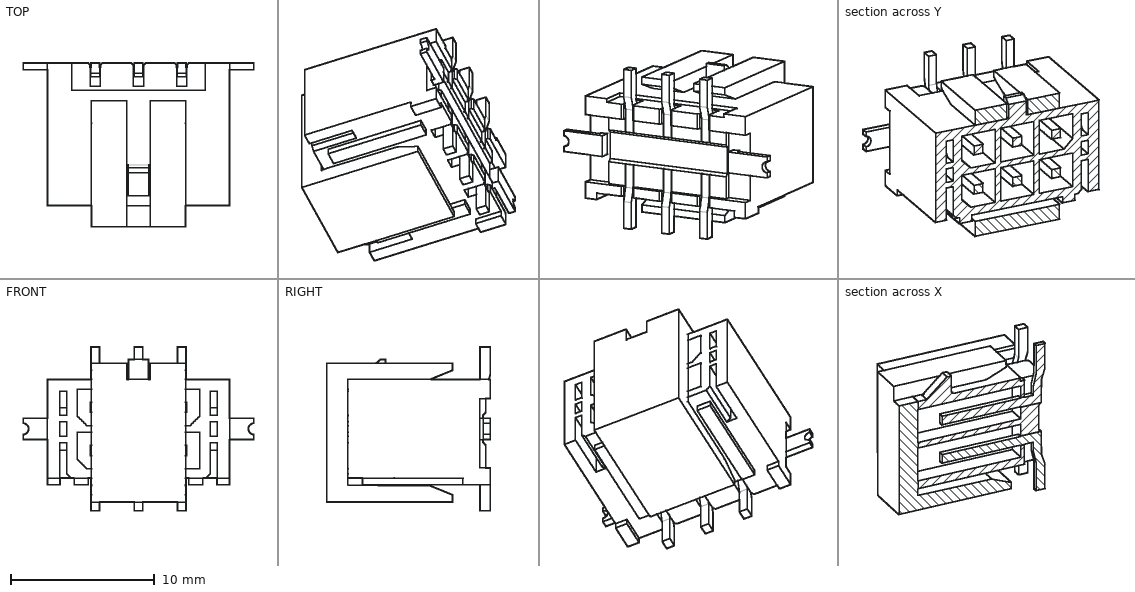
import cadquery as cq

TAB_SPAN = 16.09
LEG_SPAN = 11.4
CAP_DEPTH = 11.4

PITCH = 3.01
COLUMNS = (-1, 0, 1)
ROWS = (1, -1)
ROW_Z = PITCH / 2
SIDES = (-1, 1)

HOUSING_WIDTH = 12.68
HOUSING_DEPTH = 9.93
HOUSING_TOP = 3.45
HOUSING_BOTTOM = -3.43
SUPPORT_HEIGHT = 0.47
SUPPORT_BOTTOM = HOUSING_BOTTOM - SUPPORT_HEIGHT
SHOULDER_DEPTH = 1.91
FOOT_WIDTH = 0.88
RIB_INNER_X = 3.49
RIB_WIDTH = 1.0
RIB_END_DEPTH = 8.91

RECESS_WIDTH = 9.27
TOP_RECESS_HEIGHT = 0.25
BACK_RECESS_TOP = 2.1
BACK_RECESS_BOTTOM = -2.72
BACK_RECESS_DEPTH = 0.72
PAD_DEPTH = 0.3
PAD_CHANNEL_DEPTH = 0.5
PAD_CHANNEL_HEIGHT = 2.28

CAVITY_SIZE = 2.55
CAVITY_CHAMFER = 0.68
CAVITY_FLOOR_DEPTH = SHOULDER_DEPTH

LATCH_WIDTH = 1.4
LATCH_TOP = 4.85
LATCH_BACK = 7.3
LATCH_TIP_END = 7.66
LATCH_BASE_RADIUS = 0.23
LATCH_RAMP_END = 9.25

BLADE_SIZE = 0.7
BLADE_TIP_DEPTH = 8.05
LEG_WIDTH = 0.61
LEG_THICKNESS = 0.72
STEM_BACK_DEPTH = PAD_DEPTH
STEM_FRONT_DEPTH = 0.95
JOG_BACK_Z = 3.77
JOG_FRONT_Z = 3.49
JOG_HEIGHT = 0.97
TERMINAL_SLOT_DEPTH = 1.61
SLOT_LEAD_IN = 0.15

TAB_HEIGHT = 1.5
TAB_THICKNESS = 0.48
TAB_INNER_X = 4.99
TAB_LEG_DEPTH = 4.83
TAB_NOTCH_RADIUS = 0.39

SLOT_INNER_X = TAB_INNER_X
SLOT_WIDTH = TAB_THICKNESS
SLOT_DEPTH = 3.22
MIDDLE_SLOT_HEIGHT = 1.0
OUTER_SLOT_START_Z = 0.97
OUTER_SLOT_TOP = 2.62
OUTER_SLOT_SLOPE = 0.51
SLOT_MOUTH_CHAMFER = 0.29

CAP_WIDTH = 6.56
CAP_TOP = 4.59
CAP_BOTTOM = -5.1
CAP_ARM_START = 2.64
CAP_TAPER_END = 4.18
CAP_TIP_THICKNESS = 0.51
CAP_LOWER_INNER_Z = SUPPORT_BOTTOM - 0.02
CAP_LOWER_ARM_DROP = 0.05
CAP_SLOT_WIDTH = 1.61


def block(x_min, x_max, depth_min, depth_max, z_min, z_max):
    """Box given by its limits in X, in depth behind the mounting face and in Z."""
    size = (x_max - x_min, depth_max - depth_min, z_max - z_min)
    return cq.Workplane("XY").box(*size, centered=False).translate((x_min, -depth_max, z_min))


def side_profile(points, x_min, x_max):
    """Extrude an outline of (depth, Z) points between two X positions."""
    outline = [(-depth, z) for depth, z in points]
    return cq.Workplane("YZ").workplane(offset=x_min).polyline(outline).close().extrude(x_max - x_min)


def front_profile(points, depth_min, depth_max):
    """Extrude an outline of (X, Z) points between two depths."""
    plane = cq.Workplane("XZ", origin=(0, -depth_min, 0))
    return plane.polyline(points).close().extrude(depth_max - depth_min)


def mirrored_x(body, side):
    """Return a body made on the +X side, or its mirror image for the -X side."""
    return body if side > 0 else body.mirror("YZ")


def housing_block():
    half = HOUSING_WIDTH / 2
    body = block(-half, half, 0, HOUSING_DEPTH, HOUSING_BOTTOM, HOUSING_TOP)
    foot = block(half - FOOT_WIDTH, half, 0, SHOULDER_DEPTH, SUPPORT_BOTTOM, HOUSING_BOTTOM)
    rib = block(
        RIB_INNER_X, RIB_INNER_X + RIB_WIDTH, SHOULDER_DEPTH, RIB_END_DEPTH, SUPPORT_BOTTOM, HOUSING_BOTTOM
    )
    for side in SIDES:
        body = body.union(mirrored_x(foot, side)).union(mirrored_x(rib, side))
    return body


def latch():
    """Ramp with an upright back face that runs out into the housing through a concave fillet."""
    half = LATCH_WIDTH / 2
    radius = LATCH_BASE_RADIUS
    ramp = side_profile(
        [
            (LATCH_BACK, HOUSING_TOP),
            (LATCH_BACK, LATCH_TOP),
            (LATCH_TIP_END, LATCH_TOP),
            (LATCH_RAMP_END, HOUSING_TOP),
        ],
        -half,
        half,
    )
    corner = block(-half, half, LATCH_BACK - radius, LATCH_BACK, HOUSING_TOP, HOUSING_TOP + radius)
    hollow = (
        cq.Workplane("YZ", origin=(-half, radius - LATCH_BACK, HOUSING_TOP + radius))
        .circle(radius)
        .extrude(LATCH_WIDTH)
    )
    return ramp.union(corner.cut(hollow))


def recesses():
    half = RECESS_WIDTH / 2
    top = block(-half, half, 0, SHOULDER_DEPTH, HOUSING_TOP - TOP_RECESS_HEIGHT, HOUSING_TOP)
    back = block(
        -HOUSING_WIDTH / 2, HOUSING_WIDTH / 2, 0, BACK_RECESS_DEPTH, BACK_RECESS_BOTTOM, BACK_RECESS_TOP
    )
    pad = block(-half, half, PAD_DEPTH, BACK_RECESS_DEPTH, BACK_RECESS_BOTTOM, BACK_RECESS_TOP)
    mouth = PAD_CHANNEL_HEIGHT / 2
    floor = mouth - (PAD_CHANNEL_DEPTH - PAD_DEPTH)
    channel = side_profile(
        [(PAD_DEPTH, mouth), (PAD_CHANNEL_DEPTH, floor), (PAD_CHANNEL_DEPTH, -floor), (PAD_DEPTH, -mouth)],
        -half,
        half,
    )
    return top.union(back.cut(pad)).union(channel)


def cavity(column, row):
    """Square mating cavity; the outer columns lose their outer lower corner, except the lower one at +X."""
    half = CAVITY_SIZE / 2
    x = column * PITCH
    z = row * ROW_Z
    body = block(x - half, x + half, CAVITY_FLOOR_DEPTH, HOUSING_DEPTH, z - half, z + half)
    if column == 0 or (column > 0 and row < 0):
        return body
    outer_edge = "<X" if column < 0 else ">X"
    return body.faces("<Z").edges(outer_edge).chamfer(CAVITY_CHAMFER)


def terminal_passage(column, row):
    """Slot for a terminal's stem, with a lead-in at the mounting face, and the hole for its blade."""
    half = BLADE_SIZE / 2
    blade_bottom = ROW_Z - half
    slot = block(-half, half, 0, TERMINAL_SLOT_DEPTH, blade_bottom, HOUSING_TOP)
    hole = block(-half, half, 0, CAVITY_FLOOR_DEPTH, blade_bottom, ROW_Z + half)
    wide = half + SLOT_LEAD_IN
    lead_in = (
        cq.Workplane("XY", origin=(0, 0, blade_bottom))
        .polyline([(-wide, 0), (wide, 0), (half, -SLOT_LEAD_IN), (-half, -SLOT_LEAD_IN)])
        .close()
        .extrude(HOUSING_TOP - blade_bottom)
    )
    passage = slot.union(hole).union(lead_in)
    if row < 0:
        passage = passage.mirror("XY")
    return passage.translate((column * PITCH, 0, 0))


def sloped_slot(z_end):
    """Narrow slot above the middle one, up to z_end, whose floor rises to its blind end."""
    bottom_depth = HOUSING_DEPTH - SLOT_DEPTH
    start = OUTER_SLOT_START_Z
    points = [
        (HOUSING_DEPTH, start),
        (bottom_depth + OUTER_SLOT_SLOPE, start),
        (bottom_depth, start + OUTER_SLOT_SLOPE),
        (bottom_depth, z_end),
        (HOUSING_DEPTH, z_end),
    ]
    return side_profile(points, SLOT_INNER_X, SLOT_INNER_X + SLOT_WIDTH)


def face_slots():
    """The three narrow slots beside the cavities on the +X side."""
    x_min = SLOT_INNER_X
    x_max = x_min + SLOT_WIDTH
    bottom_depth = HOUSING_DEPTH - SLOT_DEPTH
    half = MIDDLE_SLOT_HEIGHT / 2
    upper = sloped_slot(OUTER_SLOT_TOP)
    middle = block(x_min, x_max, bottom_depth, HOUSING_DEPTH, -half, half)
    lower = sloped_slot(-HOUSING_BOTTOM).mirror("XY")
    mouth = front_profile(
        [
            (x_min, HOUSING_BOTTOM),
            (x_min - SLOT_MOUTH_CHAMFER, HOUSING_BOTTOM),
            (x_min, HOUSING_BOTTOM + SLOT_MOUTH_CHAMFER),
        ],
        bottom_depth,
        HOUSING_DEPTH,
    )
    return upper.union(middle).union(lower).union(mouth)


def tab_pocket():
    x_max = TAB_INNER_X + TAB_THICKNESS
    return block(TAB_INNER_X, x_max, 0, TAB_LEG_DEPTH, -TAB_HEIGHT / 2, TAB_HEIGHT / 2)


def make_housing():
    body = housing_block().union(latch()).cut(recesses())
    for column in COLUMNS:
        for row in ROWS:
            body = body.cut(cavity(column, row)).cut(terminal_passage(column, row))
    for side in SIDES:
        body = body.cut(mirrored_x(face_slots(), side)).cut(mirrored_x(tab_pocket(), side))
    return body


def make_cap():
    taper_z = CAP_LOWER_INNER_Z - CAP_LOWER_ARM_DROP
    points = [
        (CAP_ARM_START, CAP_TOP),
        (CAP_ARM_START, CAP_TOP - CAP_TIP_THICKNESS),
        (CAP_TAPER_END, HOUSING_TOP),
        (HOUSING_DEPTH, HOUSING_TOP),
        (HOUSING_DEPTH, CAP_LOWER_INNER_Z),
        (CAP_TAPER_END, taper_z),
        (CAP_ARM_START, CAP_BOTTOM + CAP_TIP_THICKNESS),
        (CAP_ARM_START, CAP_BOTTOM),
        (CAP_DEPTH, CAP_BOTTOM),
        (CAP_DEPTH, CAP_TOP),
    ]
    body = side_profile(points, -CAP_WIDTH / 2, CAP_WIDTH / 2)
    half = CAP_SLOT_WIDTH / 2
    return body.cut(block(-half, half, 0, CAP_DEPTH, HOUSING_TOP, CAP_TOP))


def make_terminal(column, row):
    """Blade with a stem bent up behind it that jogs back to a soldering leg; lower rows are mirrored."""
    half = BLADE_SIZE / 2
    blade_bottom = ROW_Z - half
    stem = side_profile(
        [
            (0, LEG_SPAN / 2),
            (0, JOG_BACK_Z),
            (STEM_BACK_DEPTH, JOG_BACK_Z - JOG_HEIGHT),
            (STEM_BACK_DEPTH, blade_bottom),
            (STEM_FRONT_DEPTH, blade_bottom),
            (STEM_FRONT_DEPTH, JOG_FRONT_Z - JOG_HEIGHT),
            (LEG_THICKNESS, JOG_FRONT_Z),
            (LEG_THICKNESS, LEG_SPAN / 2),
        ],
        -LEG_WIDTH / 2,
        LEG_WIDTH / 2,
    )
    blade = block(-half, half, STEM_FRONT_DEPTH, BLADE_TIP_DEPTH, blade_bottom, ROW_Z + half)
    body = stem.union(blade)
    if row < 0:
        body = body.mirror("XY")
    return body.translate((column * PITCH, 0, 0))


def make_solder_tab(side):
    """L-shaped strip: a notched plate on the mounting face and a leg going into the housing."""
    half = TAB_HEIGHT / 2
    end_x = TAB_SPAN / 2
    plate = block(TAB_INNER_X, end_x, 0, TAB_THICKNESS, -half, half)
    leg = block(TAB_INNER_X, TAB_INNER_X + TAB_THICKNESS, 0, TAB_LEG_DEPTH, -half, half)
    notch = cq.Workplane("XZ").center(end_x, 0).circle(TAB_NOTCH_RADIUS).extrude(TAB_THICKNESS)
    return mirrored_x(plate.cut(notch).union(leg), side)


housing = make_housing()
cap = make_cap()
terminals = [make_terminal(column, row) for column in COLUMNS for row in ROWS]
solder_tabs = [make_solder_tab(side) for side in SIDES]

result = cq.Compound.makeCompound(
    [
        housing.val(),
        cap.val(),
        *[terminal.val() for terminal in terminals],
        *[tab.val() for tab in solder_tabs],
    ]
)